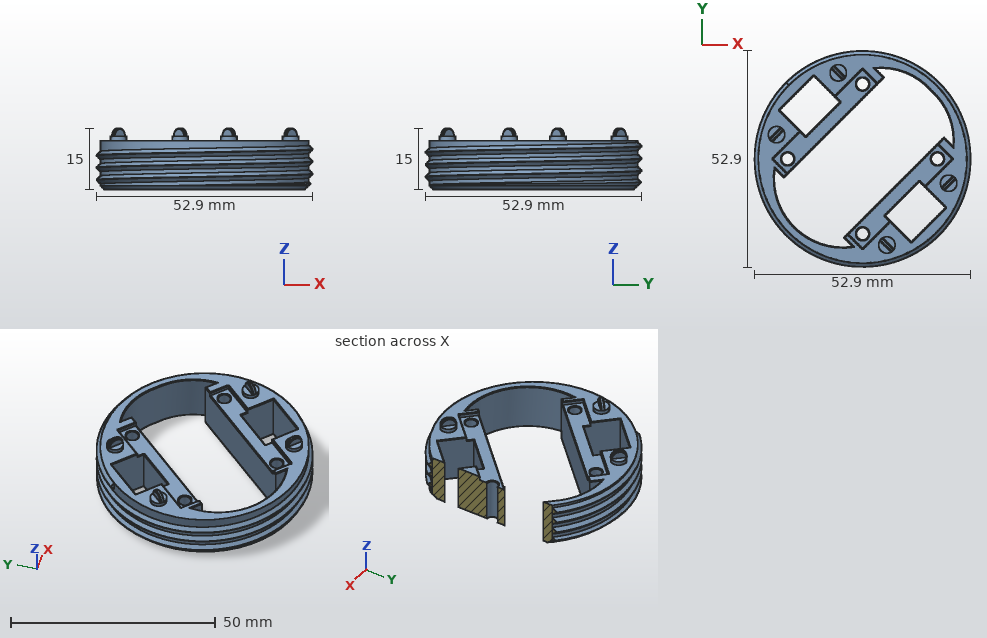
import cadquery as cq
import math

outer_diameter = 52.85
ring_diameter = 51.0
ring_radius = ring_diameter / 2
ring_height = 12.0
bottom_chamfer = 1.0
edge_chamfer = 0.2

opening_reach = 23.55
left_lobe_radius = 16.8
right_lobe_radius = 16.0
right_lobe_spread = 1.1
bar_face = 10.35
left_bar_end = 16.85
right_bar_end = 17.8

recess_depth = 1.0
recess_half_length = 15.5
recess_outer_face = 15.5
floor_height = ring_height - recess_depth
window_length = 11.85
window_inner_face = 13.75
window_outer_face = 22.75
hole_diameter = 3.0
hole_offset = 12.95

stud_diameter = 4.0
stud_radius = stud_diameter / 2
stud_base_height = 1.0
blade_thickness = 1.0
stud_along = 10.65
stud_across = 19.05

thread_turns = 4
thread_pitch = ring_height / thread_turns
thread_root_width = 2.0
thread_crest_width = 0.15
thread_overlap = 0.25
thread_end_angle = 135.0

layout_angle = 45.0


def box_between(x_range, y_range, z_range):
    """A box given by its lowest and highest coordinate on each axis."""
    sizes = [high - low for low, high in (x_range, y_range, z_range)]
    corner = (x_range[0], y_range[0], z_range[0])
    return cq.Workplane("XY").box(*sizes, centered=False).translate(corner)


def flared_slot(x_range, y_range, bottom, top):
    """A box-shaped cutter whose sides open out at 45 degrees just below its top."""
    slot = box_between(x_range, y_range, (bottom, top))
    flare = (
        cq.Workplane("XY", origin=(sum(x_range) / 2, sum(y_range) / 2, top - edge_chamfer))
        .rect(x_range[1] - x_range[0], y_range[1] - y_range[0])
        .extrude(edge_chamfer, taper=-45)
    )
    return slot.union(flare)


def flared_hole(x, y, radius, top):
    """A round cutter whose wall opens out at 45 degrees just below its top."""
    hole = cq.Workplane("XY").center(x, y).circle(radius).extrude(top)
    flare = (
        cq.Workplane("XY", origin=(x, y, top - edge_chamfer))
        .circle(radius)
        .extrude(edge_chamfer, taper=-45)
    )
    return hole.union(flare)


def opening():
    """The slot between the bars, widened beyond the bar ends by a lobe on each side."""
    full_width = (-outer_diameter, outer_diameter)
    slot = flared_slot((-left_bar_end, right_bar_end), (-bar_face, bar_face), 0, ring_height)

    left_lobe = flared_hole(left_lobe_radius - opening_reach, 0, left_lobe_radius, ring_height)
    beyond_left = flared_slot((-outer_diameter, -left_bar_end), full_width, 0, ring_height)

    centre = opening_reach - math.sqrt(right_lobe_radius**2 - right_lobe_spread**2)
    right_lobe = flared_hole(centre, right_lobe_spread, right_lobe_radius, ring_height)
    right_lobe = right_lobe.union(
        flared_hole(centre, -right_lobe_spread, right_lobe_radius, ring_height)
    )
    beyond_right = flared_slot((right_bar_end, outer_diameter), full_width, 0, ring_height)

    return slot.union(left_lobe.intersect(beyond_left)).union(right_lobe.intersect(beyond_right))


def bar_cutouts():
    """Recess, window and holes of the bar on the +Y side, with their upper edges chamfered."""
    recess_x = (-recess_half_length, recess_half_length)
    window_x = (-window_length / 2, window_length / 2)
    window_y = (window_inner_face, window_outer_face)

    recess = flared_slot(recess_x, (0, recess_outer_face), floor_height, ring_height)
    window = flared_slot(window_x, window_y, 0, ring_height)

    footprint = box_between(recess_x, (0, recess_outer_face), (0, floor_height))
    floor_window = flared_slot(window_x, window_y, 0, floor_height).intersect(footprint)
    floor_bar_edge = flared_slot(
        (-right_bar_end, right_bar_end), (-bar_face, bar_face), 0, floor_height
    ).intersect(footprint)

    cutouts = recess.union(window).union(floor_window).union(floor_bar_edge)
    for x in (-hole_offset, hole_offset):
        cutouts = cutouts.union(flared_hole(x, hole_offset, hole_diameter / 2, floor_height))
    return cutouts


def stud():
    """A round base that carries a chamfered half-round blade lying along X."""
    base = cq.Workplane("XY").circle(stud_radius).extrude(stud_base_height)
    blade = (
        cq.Workplane("XZ")
        .moveTo(-stud_radius, 0)
        .threePointArc((0, stud_radius), (stud_radius, 0))
        .close()
        .extrude(blade_thickness / 2, both=True)
    )
    blade = blade.edges("%CIRCLE").chamfer(edge_chamfer)
    return base.union(blade.translate((0, 0, stud_base_height)))


def make_ring():
    ring = cq.Workplane("XY").circle(ring_radius).extrude(ring_height)
    ring = ring.faces("<Z").chamfer(bottom_chamfer)
    ring = ring.cut(opening())
    for turn in (0, 180):
        ring = ring.cut(bar_cutouts().rotate((0, 0, 0), (0, 0, 1), turn))
    for side_x in (-1, 1):
        for side_y in (-1, 1):
            blade_turn = 90 if side_x == side_y else 0
            turned = stud().rotate((0, 0, 0), (0, 0, 1), blade_turn)
            place = (side_x * stud_along, side_y * stud_across, ring_height)
            ring = ring.union(turned.translate(place))
    return ring.rotate((0, 0, 0), (0, 0, 1), layout_angle)


def make_thread():
    """A helical ridge wound on the ring, cut off by the cone of the ring's bottom chamfer."""
    inner_radius = ring_radius - thread_overlap
    crest_radius = outer_diameter / 2
    half_crest = thread_crest_width / 2
    half_root = thread_root_width / 2
    flank_slope = (half_root - half_crest) / (crest_radius - ring_radius)
    half_inner = half_root + flank_slope * thread_overlap

    helix = cq.Wire.makeHelix(thread_pitch, thread_turns * thread_pitch, ring_radius)
    ridge = (
        cq.Workplane("XZ")
        .polyline([
            (inner_radius, -half_inner),
            (crest_radius, -half_crest),
            (crest_radius, half_crest),
            (inner_radius, half_inner),
        ])
        .close()
        .sweep(cq.Workplane(helix), isFrenet=True)
        .rotate((0, 0, 0), (0, 0, 1), thread_end_angle)
        .translate((0, 0, -half_root))
    )

    cone_rise = ring_height - bottom_chamfer
    envelope = (
        cq.Workplane("XZ")
        .polyline([
            (ring_radius, bottom_chamfer),
            (ring_radius + cone_rise, ring_height),
            (ring_radius, ring_height),
        ])
        .close()
        .revolve(360, (0, 0, 0), (0, 1, 0))
    )
    return ridge.intersect(envelope)


ring = make_ring()
thread = make_thread()
result = cq.Compound.makeCompound([ring.solids().val(), thread.solids().val()])